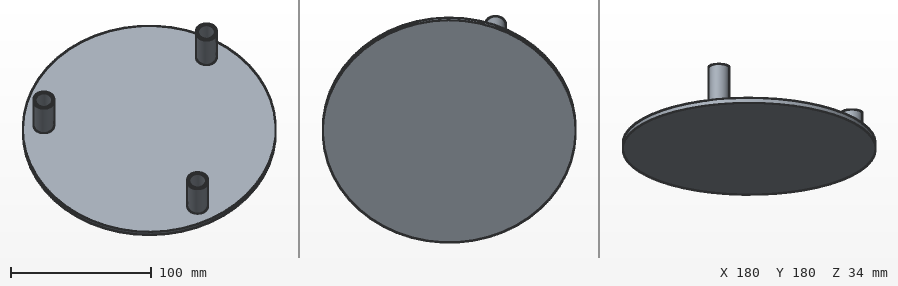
import cadquery as cq
import math

plate_diameter = 180.0
plate_thickness = 4.0

post_count = 3
post_height = 30.0
post_outer_diameter = 15.0
post_bore_diameter = 12.0
post_circle_radius = 75.0
first_post_angle = 90.0


def make_plate():
    """Plain round plate with its underside at Z = 0."""
    return cq.Workplane("XY").circle(plate_diameter / 2).extrude(plate_thickness)


def make_post(angle):
    """Open tube resting on the plate, at the given angle around its centre."""
    x = post_circle_radius * math.cos(math.radians(angle))
    y = post_circle_radius * math.sin(math.radians(angle))
    return (
        cq.Workplane("XY", origin=(x, y, plate_thickness))
        .circle(post_outer_diameter / 2)
        .circle(post_bore_diameter / 2)
        .extrude(post_height)
    )


plate = make_plate()

post_spacing_angle = 360.0 / post_count
posts = [make_post(first_post_angle + i * post_spacing_angle) for i in range(post_count)]

result = cq.Compound.makeCompound([plate.val(), *[post.val() for post in posts]])